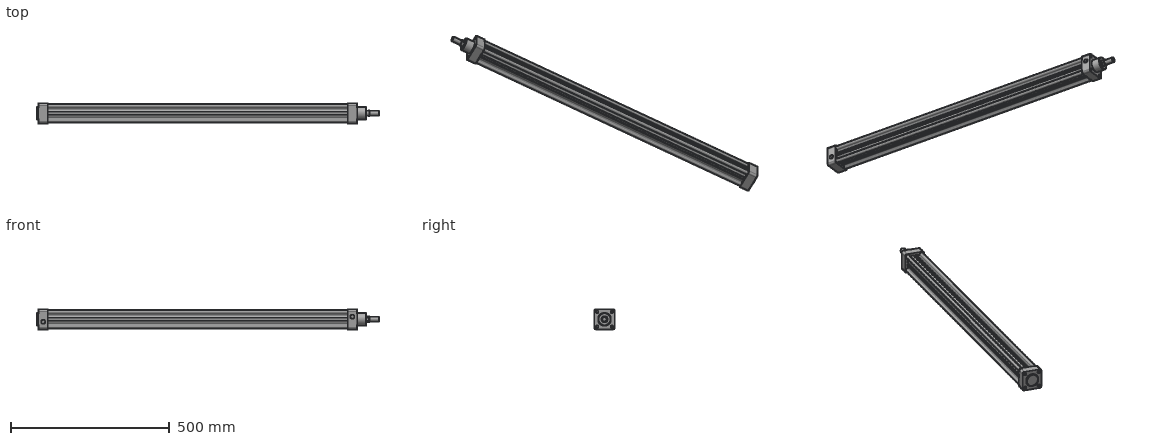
import cadquery as cq
import math

TOTAL_LENGTH = 1079.0
BOSS_LENGTH = 4.0
CAP_LENGTH = 30.0
FRONT_CAP_START = 980.0
COLLAR_LENGTH = 29.0
THREAD_LENGTH = 29.0

CAP_WIDTH = 65.0
CAP_CORNER_RADIUS = 6.0
SPIGOT_RADIUS = 20.0
SPIGOT_CHAMFER = 1.6
SCREW_SPACING = 46.0
SCREW_HOLE_RADIUS = 3.8
SCREW_HOLE_DEPTH = 16.0
PORT_RADIUS = 6.0
PORT_OFFSET = 8.1
PORT_DEPTH = 11.0

TUBE_RADIUS = 26.0
LOBE_RADIUS = 6.7
GROOVE_RADIUS = 2.0
SLOT_HALF_WIDTH = 4.0
SLOT_FLOOR_HEIGHT = 23.0
SLOT_FLOOR_RADIUS = 11.0

ROD_RADIUS = 10.0
ROD_CHAMFER = 1.0
THREAD_RADIUS = 8.1
THREAD_CHAMFER = 1.0
FLAT_TO_AXIS = 9.0
FLAT_LENGTH = 8.0

barrel_start = BOSS_LENGTH + CAP_LENGTH
collar_start = FRONT_CAP_START + CAP_LENGTH
collar_end = collar_start + COLLAR_LENGTH
thread_start = TOTAL_LENGTH - THREAD_LENGTH


def section_at(x):
    """Sketch plane across the axis at x, with local axes along Y and Z."""
    return cq.Workplane("YZ", origin=(x, 0, 0))


def cylinder(x, radius, length):
    """Cylinder on the main axis that starts at x and runs toward +X."""
    return section_at(x).circle(radius).extrude(length)


def cap_block(x):
    """Square block with rounded long edges."""
    block = section_at(x).rect(CAP_WIDTH, CAP_WIDTH).extrude(CAP_LENGTH)
    return block.edges("|X").fillet(CAP_CORNER_RADIUS)


def screw_holes(x, depth):
    """Four corner holes, running from x by the signed depth."""
    corners = section_at(x).rect(SCREW_SPACING, SCREW_SPACING, forConstruction=True).vertices()
    return corners.circle(SCREW_HOLE_RADIUS).extrude(depth)


def port(cap_start, z):
    """Blind air port in the -Y face, midway along a cap."""
    face = cq.Workplane("XZ", origin=(cap_start + CAP_LENGTH / 2, -CAP_WIDTH / 2, z))
    return face.circle(PORT_RADIUS).extrude(-PORT_DEPTH)


def make_rear_cap():
    """Cap with a short round boss and screw holes on its outer end."""
    boss = cylinder(0, SPIGOT_RADIUS, BOSS_LENGTH).faces("<X").chamfer(SPIGOT_CHAMFER)
    cap = cap_block(BOSS_LENGTH).union(boss)
    cap = cap.cut(screw_holes(BOSS_LENGTH, SCREW_HOLE_DEPTH))
    return cap.cut(port(BOSS_LENGTH, -PORT_OFFSET))


def make_front_cap():
    """Cap with a long collar, bored through for the piston rod."""
    collar = cylinder(collar_start, SPIGOT_RADIUS, COLLAR_LENGTH).faces(">X").chamfer(SPIGOT_CHAMFER)
    rod_hole = cylinder(FRONT_CAP_START, ROD_RADIUS, CAP_LENGTH + COLLAR_LENGTH)
    cap = cap_block(FRONT_CAP_START).union(collar).cut(rod_hole)
    cap = cap.cut(screw_holes(collar_start, -SCREW_HOLE_DEPTH))
    return cap.cut(port(FRONT_CAP_START, PORT_OFFSET))


def polar(radius, angle):
    """Point of the barrel section at a radius and an angle in degrees about the axis."""
    return radius * math.cos(math.radians(angle)), radius * math.sin(math.radians(angle))


def make_barrel():
    """Tube with a round lobe on each diagonal and a slot with a crowned floor in each side."""
    lobe_distance = SCREW_SPACING / math.sqrt(2)
    lobe_crest = lobe_distance + LOBE_RADIUS

    groove_distance = TUBE_RADIUS + GROOVE_RADIUS
    lobe_to_groove = LOBE_RADIUS + GROOVE_RADIUS
    cos_swing = (lobe_distance**2 + groove_distance**2 - lobe_to_groove**2) / (
        2 * lobe_distance * groove_distance
    )
    groove_swing = math.degrees(math.acos(cos_swing))

    touch_share = LOBE_RADIUS / lobe_to_groove
    touch_along = lobe_distance + touch_share * (groove_distance * cos_swing - lobe_distance)
    touch_across = touch_share * groove_distance * math.sin(math.radians(groove_swing))
    touch_distance = math.hypot(touch_along, touch_across)
    touch_swing = math.degrees(math.atan2(touch_across, touch_along))

    mouth_swing = math.degrees(math.asin(SLOT_HALF_WIDTH / TUBE_RADIUS))
    floor_sag = SLOT_FLOOR_RADIUS - math.sqrt(SLOT_FLOOR_RADIUS**2 - SLOT_HALF_WIDTH**2)
    corner_height = SLOT_FLOOR_HEIGHT - floor_sag
    corner_distance = math.hypot(corner_height, SLOT_HALF_WIDTH)
    corner_swing = math.degrees(math.atan2(SLOT_HALF_WIDTH, corner_height))

    outline = section_at(barrel_start).moveTo(SLOT_FLOOR_HEIGHT, 0)
    for side in (0, 90, 180, 270):
        diagonal = side + 45
        next_side = side + 90
        outline = (
            outline.radiusArc(polar(corner_distance, side + corner_swing), -SLOT_FLOOR_RADIUS)
            .lineTo(*polar(TUBE_RADIUS, side + mouth_swing))
            .radiusArc(polar(TUBE_RADIUS, diagonal - groove_swing), -TUBE_RADIUS)
            .radiusArc(polar(touch_distance, diagonal - touch_swing), GROOVE_RADIUS)
            .threePointArc(polar(lobe_crest, diagonal), polar(touch_distance, diagonal + touch_swing))
            .radiusArc(polar(TUBE_RADIUS, diagonal + groove_swing), GROOVE_RADIUS)
            .radiusArc(polar(TUBE_RADIUS, next_side - mouth_swing), -TUBE_RADIUS)
            .lineTo(*polar(corner_distance, next_side - corner_swing))
            .radiusArc(polar(SLOT_FLOOR_HEIGHT, next_side), -SLOT_FLOOR_RADIUS)
        )
    return outline.close().extrude(FRONT_CAP_START - barrel_start)


def make_piston_rod():
    """Rod through the front cap with two wrench flats and a thinner threaded end."""
    rod = cylinder(FRONT_CAP_START, ROD_RADIUS, thread_start - FRONT_CAP_START)
    rod = rod.faces(">X").chamfer(ROD_CHAMFER)
    for side in (-1, 1):
        flat_cutter = cq.Workplane("XY").box(
            FLAT_LENGTH, ROD_RADIUS, 2 * ROD_RADIUS, centered=(False, True, True)
        )
        rod = rod.cut(flat_cutter.translate((collar_end, side * (FLAT_TO_AXIS + ROD_RADIUS / 2), 0)))
    thread = cylinder(thread_start, THREAD_RADIUS, THREAD_LENGTH).faces(">X").chamfer(THREAD_CHAMFER)
    return rod.union(thread)


rear_cap = make_rear_cap()
barrel = make_barrel()
front_cap = make_front_cap()
piston_rod = make_piston_rod()

result = cq.Compound.makeCompound(
    [rear_cap.val(), barrel.val(), front_cap.val(), piston_rod.val()]
)